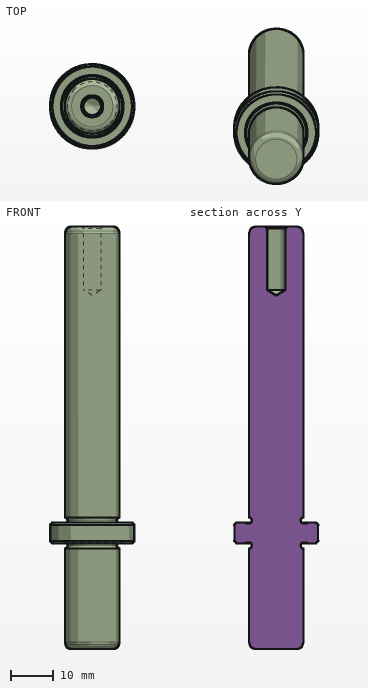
import cadquery as cq
import math

TOTAL_LENGTH = 100.0
SHAFT_RADIUS = 13.0 / 2

COLLAR_RADIUS = 20.0 / 2
COLLAR_THICKNESS = 5.0
COLLAR_BOTTOM = 25.0
COLLAR_TOP = COLLAR_BOTTOM + COLLAR_THICKNESS
COLLAR_CHAMFER = 0.6

TAPER_ANGLE = math.radians(15.0)
TAPER_LENGTH = 0.6
NOSE_RADIUS = 1.5

NECK_RADIUS = 5.85
NECK_LENGTH = 0.05
RELIEF_CORNER_RADIUS = SHAFT_RADIUS - NECK_RADIUS
RELIEF_DEPTH = 0.2
RELIEF_FLOOR_RADIUS = 7.1
RELIEF_RIM_RADIUS = 7.4

HOLE_RADIUS = 4.2 / 2
HOLE_DEPTH = 15.0
HOLE_POINT_HALF_ANGLE = math.radians(118.0 / 2)
COUNTERSINK_RADIUS = 5.2 / 2
COUNTERSINK_DEPTH = COUNTERSINK_RADIUS - HOLE_RADIUS


def point_on_arc(center, radius, angle):
    """Point at the given angle (radians) on a circle in the radius-height plane."""
    return (center[0] + radius * math.cos(angle), center[1] + radius * math.sin(angle))


def revolve_about_axis(profile):
    """Full turn of a closed radius-height profile about the pin axis."""
    return profile.close().revolve(360, (0, 0, 0), (0, 1, 0))


def shaft():
    """Full-length shaft with a taper and nose radius at both ends."""
    taper_end_radius = SHAFT_RADIUS - TAPER_LENGTH * math.tan(TAPER_ANGLE)
    nose_center_radius = taper_end_radius - NOSE_RADIUS * math.cos(TAPER_ANGLE)
    middle_angle = (TAPER_ANGLE + math.pi / 2) / 2

    lower_center = (nose_center_radius, NOSE_RADIUS)
    lower_taper_end = point_on_arc(lower_center, NOSE_RADIUS, -TAPER_ANGLE)
    upper_center = (nose_center_radius, TOTAL_LENGTH - NOSE_RADIUS)
    upper_taper_end = point_on_arc(upper_center, NOSE_RADIUS, TAPER_ANGLE)

    profile = (
        cq.Workplane("XZ")
        .lineTo(nose_center_radius, 0)
        .threePointArc(point_on_arc(lower_center, NOSE_RADIUS, -middle_angle), lower_taper_end)
        .lineTo(SHAFT_RADIUS, lower_taper_end[1] + TAPER_LENGTH)
        .lineTo(SHAFT_RADIUS, upper_taper_end[1] - TAPER_LENGTH)
        .lineTo(*upper_taper_end)
        .threePointArc(
            point_on_arc(upper_center, NOSE_RADIUS, middle_angle),
            (nose_center_radius, TOTAL_LENGTH),
        )
        .lineTo(0, TOTAL_LENGTH)
    )
    return revolve_about_axis(profile)


def collar():
    """Disc with both rims chamfered."""
    return (
        cq.Workplane("XY")
        .workplane(offset=COLLAR_BOTTOM)
        .circle(COLLAR_RADIUS)
        .extrude(COLLAR_THICKNESS)
        .edges()
        .chamfer(COLLAR_CHAMFER)
    )


def upper_relief():
    """Ring cutter for the groove between the shaft and the collar's upper face."""
    floor = COLLAR_TOP - RELIEF_DEPTH
    lower_center = (SHAFT_RADIUS, floor + RELIEF_CORNER_RADIUS)
    upper_center = (SHAFT_RADIUS, lower_center[1] + NECK_LENGTH)
    shoulder = upper_center[1] + RELIEF_CORNER_RADIUS

    profile = (
        cq.Workplane("XZ")
        .moveTo(RELIEF_RIM_RADIUS, COLLAR_TOP)
        .lineTo(RELIEF_FLOOR_RADIUS, floor)
        .lineTo(SHAFT_RADIUS, floor)
        .threePointArc(
            point_on_arc(lower_center, RELIEF_CORNER_RADIUS, math.radians(225)),
            (NECK_RADIUS, lower_center[1]),
        )
        .lineTo(NECK_RADIUS, upper_center[1])
        .threePointArc(
            point_on_arc(upper_center, RELIEF_CORNER_RADIUS, math.radians(135)),
            (SHAFT_RADIUS, shoulder),
        )
        .lineTo(RELIEF_RIM_RADIUS, shoulder)
    )
    return revolve_about_axis(profile)


def end_hole():
    """Cutter for the countersunk hole with a conical drill point."""
    hole_floor = TOTAL_LENGTH - HOLE_DEPTH
    point_depth = HOLE_RADIUS / math.tan(HOLE_POINT_HALF_ANGLE)
    profile = (
        cq.Workplane("XZ")
        .moveTo(0, TOTAL_LENGTH)
        .lineTo(COUNTERSINK_RADIUS, TOTAL_LENGTH)
        .lineTo(HOLE_RADIUS, TOTAL_LENGTH - COUNTERSINK_DEPTH)
        .lineTo(HOLE_RADIUS, hole_floor)
        .lineTo(0, hole_floor - point_depth)
    )
    return revolve_about_axis(profile)


collar_middle = (0, 0, COLLAR_BOTTOM + COLLAR_THICKNESS / 2)
relief_above = upper_relief()
relief_below = relief_above.mirror("XY", collar_middle)

result = shaft().union(collar()).cut(relief_above).cut(relief_below).cut(end_hole())